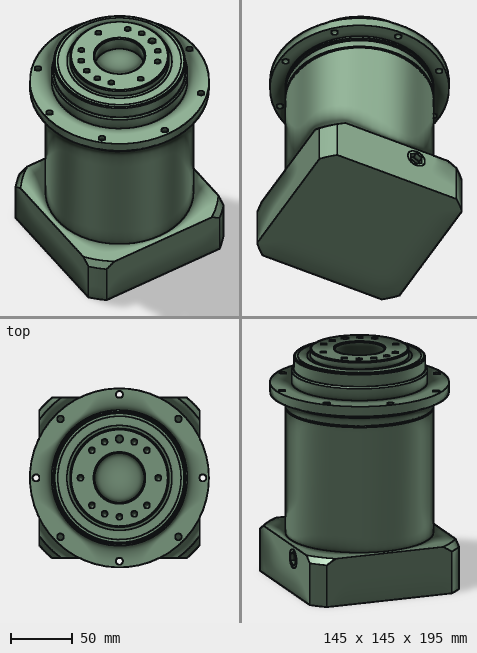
import cadquery as cq
import math

total_height = 195.0
base_height = 40.0
barrel_top = 146.6
groove_bottom = 153.3
groove_top = 156.2
flange_bottom = 158.3
flange_top = 166.5
pilot_top = 177.8
collar_top = 188.8

base_width = 130.0
base_corner_diameter = 169.6
base_corner_chamfer = 4.7

barrel_diameter = 120.0
barrel_chamfer = 1.4

band_diameter = 120.5
groove_diameter = 116.6
flange_diameter = 145.0
pilot_diameter = 110.0
collar_diameter = 106.5
pilot_chamfer = 1.4
collar_chamfer = 1.0
mount_circle = 135.0
mount_hole_diameter = 5.5
mount_hole_count = 8

recess_floor = flange_top
seal_outer_diameter = 99.8
seal_inner_diameter = 85.0

spigot_diameter = 80.0
spigot_chamfer = 1.0
bore_diameter = 40.2
bore_chamfer = 1.0
bore_depth = 11.9
bolt_circle = 63.0
bolt_hole_diameter = 4.9
bolt_hole_depth = 11.7
drill_tip_angle = 118.0
bolt_angles = [0, 45, 67.5, 112.5, 135, 180, 225, 247.5, 270, 292.5, 315]
dowel_angle = 90
dowel_hole_diameter = 6.0
dowel_hole_depth = 7.8

plug_y = -18.0
plug_z = 29.5
plug_diameter = 15.6
plug_length = 8.0
hex_across_flats = 10.1
hex_depth = 5.0


def disc(diameter, bottom, top):
    """Cylinder about the Z axis between two heights."""
    return cq.Workplane("XY").workplane(offset=bottom).circle(diameter / 2).extrude(top - bottom)


def on_circle(diameter, angle):
    """Point on a circle about the Z axis, at an angle in degrees from +X."""
    radius = diameter / 2
    return radius * math.cos(math.radians(angle)), radius * math.sin(math.radians(angle))


def plug_plane():
    """Plane on the -X face of the base, at the plug's axis, facing into the base."""
    origin = (-base_width / 2, plug_y, plug_z)
    return cq.Workplane(cq.Plane(origin=origin, xDir=(0, 1, 0), normal=(1, 0, 0)))


def make_gearbox():
    """Square base and barrel, with the plug's hole in the side of the base."""
    corner_turning = disc(base_corner_diameter, 0, base_height).faces(">Z").chamfer(base_corner_chamfer)
    base = cq.Workplane("XY").rect(base_width, base_width).extrude(base_height).intersect(corner_turning)
    barrel = disc(barrel_diameter, base_height, barrel_top).faces(">Z").chamfer(barrel_chamfer)
    plug_hole = plug_plane().circle(plug_diameter / 2).extrude(plug_length)
    return base.union(barrel).cut(plug_hole)


def make_housing():
    """Front housing with its mounting flange and the recess for the output disc."""
    body = disc(band_diameter, barrel_top, groove_bottom)
    body = body.union(disc(groove_diameter, groove_bottom, groove_top))
    body = body.union(disc(band_diameter, groove_top, flange_bottom))
    body = body.union(disc(flange_diameter, flange_bottom, flange_top))
    body = body.union(disc(pilot_diameter, flange_top, pilot_top).faces(">Z").chamfer(pilot_chamfer))
    body = body.union(disc(collar_diameter, flange_top, collar_top).faces(">Z").chamfer(collar_chamfer))
    mount_holes = (
        cq.Workplane("XY")
        .workplane(offset=flange_bottom)
        .polarArray(mount_circle / 2, 0, 360, mount_hole_count)
        .circle(mount_hole_diameter / 2)
        .extrude(flange_top - flange_bottom)
    )
    recess = disc(seal_outer_diameter, recess_floor, collar_top)
    return body.cut(mount_holes).cut(recess)


def make_seal():
    """Seal ring between the output disc and the housing, flush with the collar."""
    ring = disc(seal_outer_diameter, recess_floor, collar_top)
    return ring.cut(disc(seal_inner_diameter, recess_floor, collar_top))


def bolt_hole(angle):
    """Drilled hole with a conical bottom, in the face of the output disc."""
    radius = bolt_hole_diameter / 2
    tip_height = radius / math.tan(math.radians(drill_tip_angle / 2))
    profile = (
        cq.Workplane("XZ")
        .moveTo(0, 0)
        .lineTo(radius, 0)
        .lineTo(radius, -bolt_hole_depth)
        .lineTo(0, -bolt_hole_depth - tip_height)
        .close()
    )
    drill = profile.revolve(360, (0, 0, 0), (0, 1, 0))
    x, y = on_circle(bolt_circle, angle)
    return drill.translate((x, y, total_height))


def make_output_disc():
    """Output disc: shoulder inside the seal, spigot, central bore, bolt holes and dowel hole."""
    shoulder = disc(seal_inner_diameter, recess_floor, collar_top)
    spigot = disc(spigot_diameter, collar_top, total_height).faces(">Z").chamfer(spigot_chamfer)
    body = shoulder.union(spigot)
    bore = disc(bore_diameter, total_height - bore_depth, total_height)
    body = body.cut(bore)
    body = body.faces(">Z").edges(cq.selectors.RadiusNthSelector(0)).chamfer(bore_chamfer)
    for angle in bolt_angles:
        body = body.cut(bolt_hole(angle))
    dowel_hole = disc(dowel_hole_diameter, total_height - dowel_hole_depth, total_height)
    x, y = on_circle(bolt_circle, dowel_angle)
    return body.cut(dowel_hole.translate((x, y, 0)))


def make_plug():
    """Screw plug flush with the base, with a hexagon socket whose points face up and down."""
    body = plug_plane().circle(plug_diameter / 2).extrude(plug_length)
    hex_across_corners = hex_across_flats / math.cos(math.radians(30))
    socket = plug_plane().transformed(rotate=(0, 0, 90)).polygon(6, hex_across_corners).extrude(hex_depth)
    return body.cut(socket)


gearbox = make_gearbox()
housing = make_housing()
seal = make_seal()
output_disc = make_output_disc()
plug = make_plug()

result = cq.Compound.makeCompound(
    [gearbox.val(), housing.val(), seal.val(), output_disc.val(), plug.val()]
)